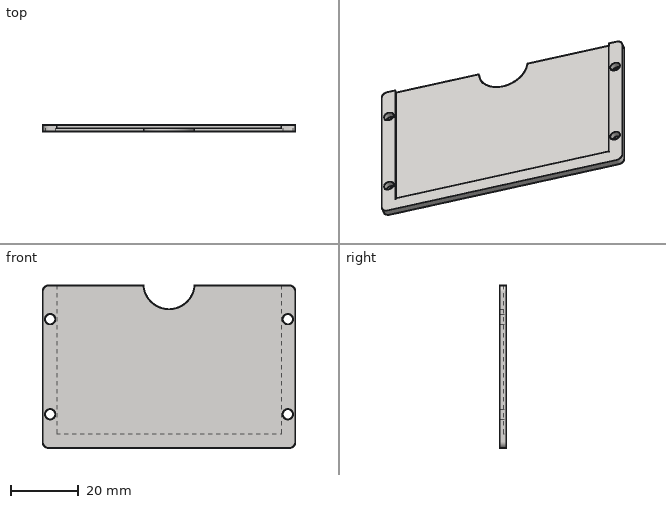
import cadquery as cq

width = 74.5
thickness = 2.0
height = 48.0
corner_radius = 1.85

side_wall = 4.2
bottom_wall = side_wall
pocket_depth = 1.0

notch_radius = 7.5
notch_depth = 7.0

hole_diameter = 3.0
hole_spacing_x = 70.0
lower_hole_z = 10.0
upper_hole_z = 38.0


def make_plate():
    """Rounded plate with its front face on Y = 0 and its bottom edge on Z = 0."""
    return (
        cq.Workplane("XY")
        .box(width, thickness, height, centered=(True, False, False))
        .edges("|Y")
        .fillet(corner_radius)
    )


def make_pocket():
    """Rectangular recess reaching from the bottom wall up through the top edge."""
    return (
        cq.Workplane("XY")
        .box(width - 2 * side_wall, pocket_depth, height - bottom_wall, centered=(True, False, False))
        .translate((0, thickness - pocket_depth, bottom_wall))
    )


def make_cutter(x, z, radius):
    """Cylinder along Y passing through the full thickness."""
    return cq.Workplane("XZ").center(x, z).circle(radius).extrude(-thickness)


result = make_plate().cut(make_pocket())
result = result.cut(make_cutter(0, height - notch_depth + notch_radius, notch_radius))
for hole_x in (-hole_spacing_x / 2, hole_spacing_x / 2):
    for hole_z in (lower_hole_z, upper_hole_z):
        result = result.cut(make_cutter(hole_x, hole_z, hole_diameter / 2))